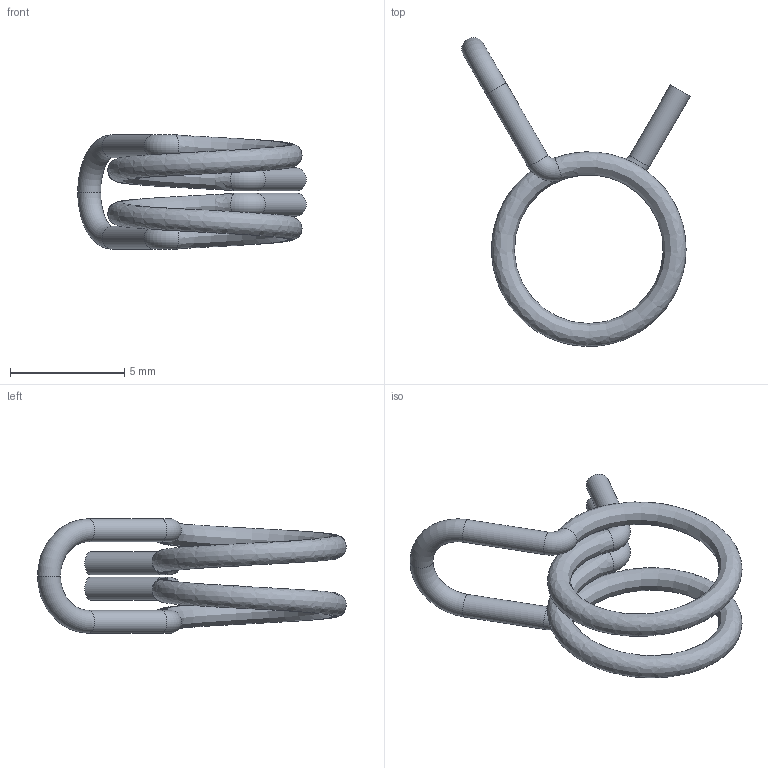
import math

import cadquery as cq

wire_diameter = 1.0
wire_radius = wire_diameter / 2
coil_radius = 3.75
bend_radius = 0.75
leg_spread = 30.0
end_leg_reach = 8.0
loop_leg_reach = 8.1
loop_radius = 2.0
end_leg_gap = 0.1

loop_leg_height = loop_radius
end_leg_height = (wire_diameter + end_leg_gap) / 2
loop_leg_angle = 90 + leg_spread
end_leg_angle = 90 - leg_spread

bend_centre_radius = coil_radius + bend_radius
bend_offset_angle = math.degrees(math.asin(bend_radius / bend_centre_radius))
leg_start = bend_centre_radius * math.cos(math.radians(bend_offset_angle))

coil_start_angle = end_leg_angle + bend_offset_angle
coil_end_angle = loop_leg_angle - bend_offset_angle + 360
coil_turns = (coil_end_angle - coil_start_angle) / 360
coil_rise = loop_leg_height - end_leg_height

axis_start = (0, 0, 0)
axis_end = (0, 0, 1)


def bend_edge(side, height):
    """Arc from a leg lying along +X to the coil; side is +1 or -1 for the bend's Y side."""
    coil_angle = math.radians(bend_offset_angle)
    leg_contact_angle = 1.5 * math.pi
    coil_contact_angle = math.pi + coil_angle
    middle_angle = (leg_contact_angle + coil_contact_angle) / 2
    start = cq.Vector(leg_start, 0, height)
    middle = cq.Vector(
        leg_start + bend_radius * math.cos(middle_angle),
        side * bend_radius * (1 + math.sin(middle_angle)),
        height,
    )
    end = cq.Vector(
        coil_radius * math.cos(coil_angle),
        side * coil_radius * math.sin(coil_angle),
        height,
    )
    return cq.Edge.makeThreePointArc(start, middle, end)


def straight_edge(reach, height):
    """Straight part of a leg, from its outer end in to the bend."""
    return cq.Edge.makeLine(cq.Vector(reach, 0, height), cq.Vector(leg_start, 0, height))


def sweep_wire(profile_plane, edges):
    """Round wire along joined edges, starting on the given plane."""
    path = cq.Wire.assembleEdges(edges)
    return cq.Workplane(profile_plane).circle(wire_radius).sweep(cq.Workplane(path))


def make_end_leg():
    """Free leg with a square-cut end."""
    end_plane = cq.Plane(origin=(end_leg_reach, 0, end_leg_height), normal=(1, 0, 0), xDir=(0, 1, 0))
    edges = [straight_edge(end_leg_reach, end_leg_height), bend_edge(1, end_leg_height)]
    return sweep_wire(end_plane, edges).rotate(axis_start, axis_end, end_leg_angle)


def make_loop_leg():
    """Leg with the upper half of the closing loop at its outer end."""
    diagonal = loop_radius * math.sqrt(0.5)
    loop_tip = cq.Vector(loop_leg_reach + loop_radius, 0, 0)
    loop_middle = cq.Vector(loop_leg_reach + diagonal, 0, diagonal)
    loop_top = cq.Vector(loop_leg_reach, 0, loop_leg_height)
    edges = [
        cq.Edge.makeThreePointArc(loop_tip, loop_middle, loop_top),
        straight_edge(loop_leg_reach, loop_leg_height),
        bend_edge(-1, loop_leg_height),
    ]
    tip_plane = cq.Plane(origin=loop_tip.toTuple(), normal=(0, 0, 1), xDir=(1, 0, 0))
    return sweep_wire(tip_plane, edges).rotate(axis_start, axis_end, loop_leg_angle)


def make_coil():
    """Helical coil whose end faces are vertical, matching the ends of the bends."""
    helix = cq.Wire.makeHelix(coil_rise / coil_turns, coil_rise, coil_radius)
    coil = (
        cq.Workplane("XZ")
        .center(coil_radius, 0)
        .circle(wire_radius)
        .sweep(cq.Workplane(helix), isFrenet=True)
    )
    return coil.rotate(axis_start, axis_end, coil_start_angle).translate((0, 0, end_leg_height))


upper_half = make_coil().union(make_end_leg()).union(make_loop_leg())
result = upper_half.union(upper_half.mirror("XY"))